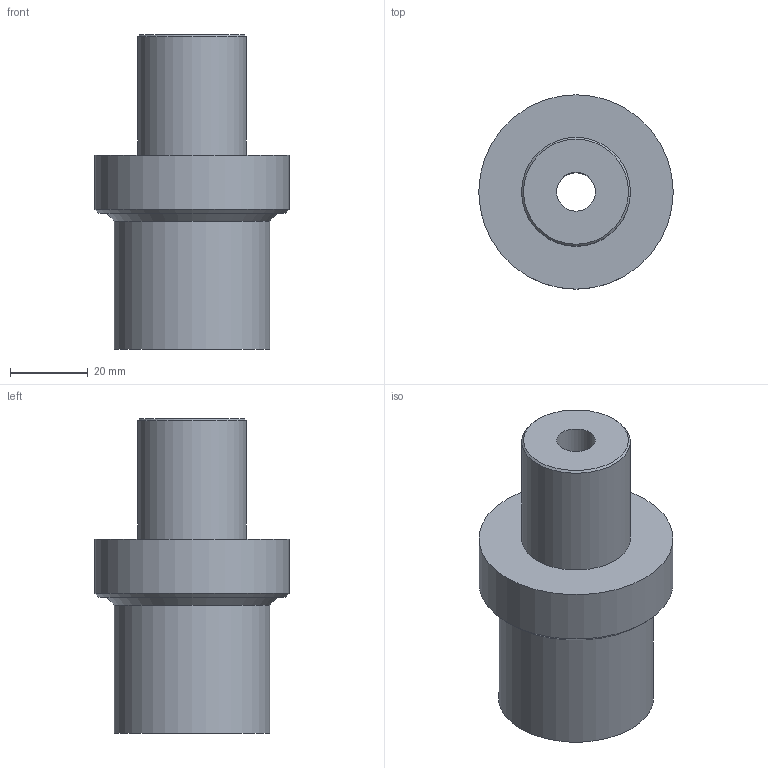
import cadquery as cq

flange_diameter = 50.0
body_diameter = 40.0
spigot_diameter = 28.0
bore_diameter = 10.0

underside_height = 35.0
flange_thickness = 15.0
spigot_length = 31.0

flange_chamfer = 1.0
neck_chamfer = 2.0
spigot_chamfer = 0.5

flange_radius = flange_diameter / 2
body_radius = body_diameter / 2
spigot_radius = spigot_diameter / 2
flange_top = underside_height + flange_thickness
total_height = flange_top + spigot_length


def make_turned_body():
    """Body, flange and spigot, revolved about the Z axis."""
    half_profile = [
        (0, 0),
        (body_radius, 0),
        (body_radius, underside_height - neck_chamfer),
        (body_radius + neck_chamfer, underside_height),
        (flange_radius - flange_chamfer, underside_height),
        (flange_radius, underside_height + flange_chamfer),
        (flange_radius, flange_top),
        (spigot_radius, flange_top),
        (spigot_radius, total_height - spigot_chamfer),
        (spigot_radius - spigot_chamfer, total_height),
        (0, total_height),
    ]
    axis_start = (0, 0)
    axis_end = (0, 1)
    profile = cq.Workplane("XZ").polyline(half_profile).close()
    return profile.revolve(360, axis_start, axis_end)


def make_bore():
    """Straight bore running the full height of the part."""
    return cq.Workplane("XY").circle(bore_diameter / 2).extrude(total_height)


result = make_turned_body().cut(make_bore())